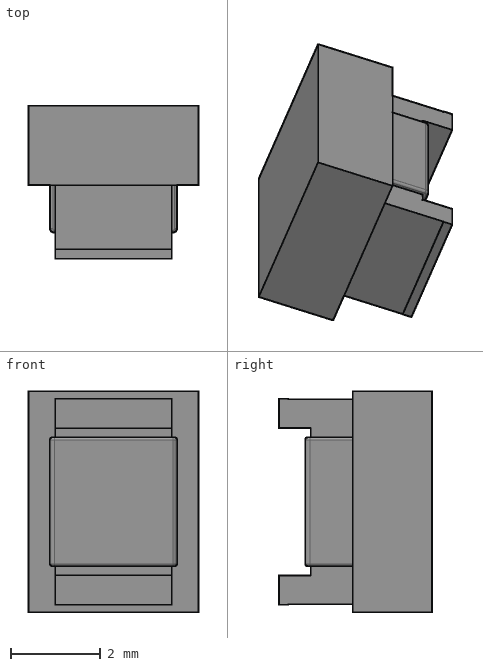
import cadquery as cq

BASE_WIDTH = 3.81
BASE_HEIGHT = 4.95
BASE_DEPTH = 1.78

CORE_WIDTH = 2.62
CORE_HEIGHT = 4.62
CORE_REACH = 1.65
LEG_THICKNESS = 0.66
WEB_REACH = 0.94

FOIL_THICKNESS = 0.01
FOIL_WRAP = 0.21

WINDING_WIDTH = 2.85
WINDING_HEIGHT = 2.89
WINDING_REACH = 1.065
WINDING_SIDE_RADIUS = 0.1
WINDING_END_RADIUS = 0.06


def block(width, height, y_start, y_end):
    """Box centred on X and Z, spanning y_start to y_end."""
    depth = y_end - y_start
    return cq.Workplane("XY").box(width, depth, height).translate((0, y_start + depth / 2, 0))


def make_core():
    """Core web with a leg at each end, each leg tip wrapped in a thin terminal foil."""
    bare_height = CORE_HEIGHT - 2 * FOIL_THICKNESS
    core = block(CORE_WIDTH, bare_height, FOIL_THICKNESS - CORE_REACH, 0)
    foil = block(CORE_WIDTH, CORE_HEIGHT, -CORE_REACH, -CORE_REACH + FOIL_WRAP)
    gap_height = CORE_HEIGHT - 2 * LEG_THICKNESS
    gap = block(CORE_WIDTH, gap_height, -CORE_REACH, -WEB_REACH)
    return core.union(foil).cut(gap)


def make_winding():
    """Winding block with rounded front corners and smaller roundings on its end rims."""
    winding = block(WINDING_WIDTH, WINDING_HEIGHT, -WINDING_REACH, 0)
    winding = winding.faces("<Y").edges("|Z").fillet(WINDING_SIDE_RADIUS)
    end_rims = winding.faces("<Z or >Z").edges("not >Y")
    return end_rims.fillet(WINDING_END_RADIUS)


base = block(BASE_WIDTH, BASE_HEIGHT, 0, BASE_DEPTH)
result = base.union(make_core()).union(make_winding())